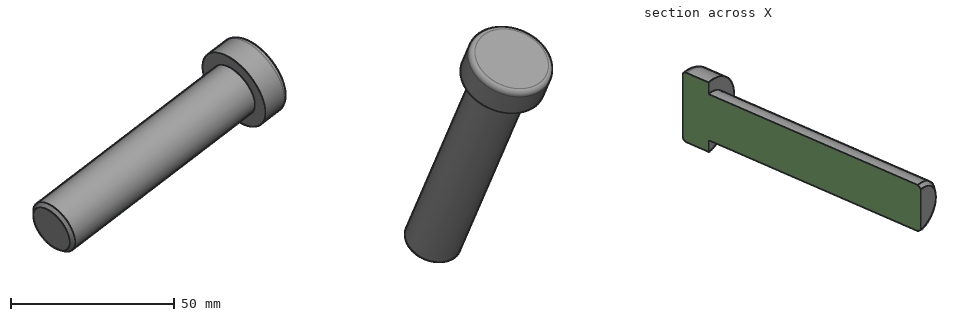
import cadquery as cq

total_length = 90.0
head_diameter = 27.0
head_length = 10.0
head_edge_radius = 1.8
shank_diameter = 18.0
tip_chamfer = 1.2

shank_length = total_length - head_length


def make_shank():
    """Round shank from the tip at Y = 0 to the underside of the head."""
    shank = cq.Workplane("XZ").circle(shank_diameter / 2).extrude(-shank_length)
    return shank.faces("<Y").chamfer(tip_chamfer)


def make_head():
    """Round head with a rounded outer edge on its far face."""
    head = (
        cq.Workplane("XZ", origin=(0, shank_length, 0))
        .circle(head_diameter / 2)
        .extrude(-head_length)
    )
    return head.faces(">Y").edges().fillet(head_edge_radius)


result = make_shank().union(make_head())